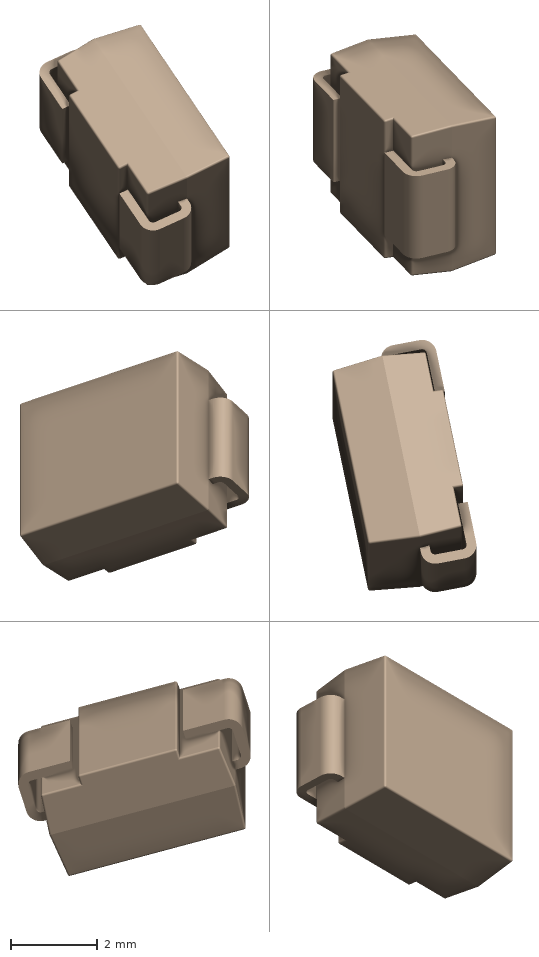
import cadquery as cq
import math

body_length = 4.5
body_height = 3.9
draft_angle = 5.0
back_depth = 1.2
pad_depth = 1.23
shoulder_depth = 1.005
pad_width = 2.4
edge_radius = 0.05

overall_length = 5.4
lead_thickness = 0.225
lead_width = 2.2
lead_depth = 1.3
foot_length = 1.335
outer_bend_radius = 0.335
inner_bend_radius = outer_bend_radius - lead_thickness
lead_embedment = 0.215


def body_half(depth):
    """Tapered half body, starting at the parting plane; negative depth runs toward +Y."""
    return (
        cq.Workplane("XZ")
        .rect(body_length, body_height)
        .extrude(depth, taper=draft_angle)
    )


def back_half():
    half = body_half(-back_depth)
    drafted_and_back_edges = half.edges("not(<Y)")
    return drafted_and_back_edges.fillet(edge_radius)


def front_half():
    """Front half with a shoulder beside the pad at each end, leaving the inner corners sharp."""
    half = body_half(pad_depth)
    shoulder_length = (body_length - pad_width) / 2
    shoulder_cut = pad_depth - shoulder_depth
    for side in (-1, 1):
        cutter = cq.Workplane("XY").box(shoulder_length, shoulder_cut, body_height)
        x_center = side * (pad_width + shoulder_length) / 2
        y_center = -(shoulder_depth + pad_depth) / 2
        half = half.cut(cutter.translate((x_center, y_center, 0)))

    inner_corners = cq.selectors.BoxSelector(
        (-pad_width / 2 - edge_radius, -shoulder_depth - edge_radius, -edge_radius),
        (pad_width / 2 + edge_radius, -shoulder_depth + edge_radius, edge_radius),
    )
    outer_edges = half.edges(cq.selectors.StringSyntaxSelector("not(>Y)") - inner_corners)
    return outer_edges.fillet(edge_radius)


def left_lead():
    """C-shaped strip drawn in the XY plane and extruded along Z."""
    outer_x = -overall_length / 2
    inner_x = outer_x + lead_thickness
    embedded_x = -body_length / 2 + lead_embedment
    foot_tip_x = outer_x + foot_length
    foot_top_y = lead_thickness - lead_depth
    diagonal = math.sqrt(0.5)

    bend_x = outer_x + outer_bend_radius
    upper_bend_y = -outer_bend_radius
    lower_bend_y = outer_bend_radius - lead_depth
    outer_offset = outer_bend_radius * diagonal
    inner_offset = inner_bend_radius * diagonal

    return (
        cq.Workplane("XY")
        .workplane(offset=-lead_width / 2)
        .moveTo(embedded_x, 0)
        .lineTo(bend_x, 0)
        .threePointArc((bend_x - outer_offset, upper_bend_y + outer_offset), (outer_x, upper_bend_y))
        .lineTo(outer_x, lower_bend_y)
        .threePointArc((bend_x - outer_offset, lower_bend_y - outer_offset), (bend_x, -lead_depth))
        .lineTo(foot_tip_x, -lead_depth)
        .lineTo(foot_tip_x, foot_top_y)
        .lineTo(bend_x, foot_top_y)
        .threePointArc((bend_x - inner_offset, lower_bend_y - inner_offset), (inner_x, lower_bend_y))
        .lineTo(inner_x, upper_bend_y)
        .threePointArc((bend_x - inner_offset, upper_bend_y + inner_offset), (bend_x, -lead_thickness))
        .lineTo(embedded_x, -lead_thickness)
        .close()
        .extrude(lead_width)
    )


body = back_half().union(front_half())
lead = left_lead()
result = body.union(lead).union(lead.mirror("YZ"))